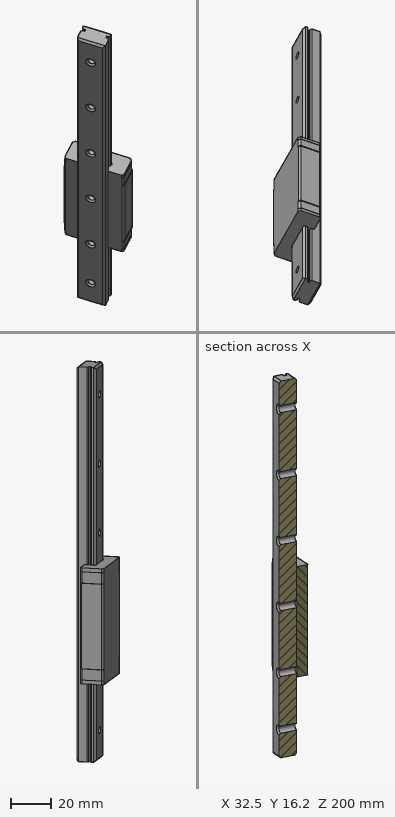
import cadquery as cq
total_depth = 16.25

rail_length = 200.0
rail_width = 15.0
rail_height = 10.0
rail_chamfer = 1.1

groove_center = 6.7
groove_slot_width = 1.0
groove_mouth_chamfer = 0.75
groove_depth = 1.8

end_margin = 15.0
hole_pitch = 35.0
pitched_holes = 5
screw_diameter = 3.5
countersink_diameter = 5.3
countersink_depth = (countersink_diameter - screw_diameter) / 2

carriage_height = 12.0
carriage_length = 58.8
carriage_top = rail_length / 2
carriage_middle = carriage_top - carriage_length / 2
carriage_front = total_depth - carriage_height
block_length = 43.4
block_width = 32.5
block_back_chamfer = 0.9
cap_width = 31.8
cap_back_chamfer = 1.1
seal_width = 31.6
seal_thickness = 2.0

front_chamfer_depth = 0.9
block_front_chamfer_width = 1.1
cap_front_chamfer_width = 0.9


def make_grooves():
    side = rail_width / 2
    half_slot = groove_slot_width / 2
    half_mouth = half_slot + groove_mouth_chamfer
    groove = (
        cq.Workplane("XY")
        .polyline([
            (side, groove_center - half_mouth),
            (side - groove_mouth_chamfer, groove_center - half_slot),
            (side - groove_depth, groove_center - half_slot),
            (side - groove_depth, groove_center + half_slot),
            (side - groove_mouth_chamfer, groove_center + half_slot),
            (side, groove_center + half_mouth),
        ])
        .close()
        .extrude(rail_length)
    )
    return groove.union(groove.mirror("YZ"))


def make_screw_hole(z):
    """Countersunk hole through the rail at height z, revolved about its own axis along Y."""
    return (
        cq.Workplane("XY")
        .polyline([
            (0, 0),
            (countersink_diameter / 2, 0),
            (screw_diameter / 2, countersink_depth),
            (screw_diameter / 2, rail_height),
            (0, rail_height),
        ])
        .close()
        .revolve(360, (0, 0, 0), (0, 1, 0))
        .translate((0, 0, z))
    )


def make_rail():
    rail = cq.Workplane("XY").box(rail_width, rail_height, rail_length, centered=(True, False, False))
    rail = rail.edges("|Z").chamfer(rail_chamfer)
    rail = rail.faces("<Y or >Y").edges("|X").chamfer(rail_chamfer)
    rail = rail.cut(make_grooves())
    hole_heights = [rail_length - end_margin - n * hole_pitch for n in range(pitched_holes)]
    hole_heights.append(end_margin)
    for z in hole_heights:
        rail = rail.cut(make_screw_hole(z))
    return rail


def carriage_section(width, length, front_chamfer_width, back_chamfer):
    """Chamfered bar centred on the carriage's middle height."""
    half_width = width / 2
    front_half_width = half_width - front_chamfer_width
    back_half_width = half_width - back_chamfer
    front_shoulder = carriage_front + front_chamfer_depth
    back_shoulder = total_depth - back_chamfer
    return (
        cq.Workplane("XY", origin=(0, 0, carriage_middle))
        .polyline([
            (-front_half_width, carriage_front),
            (front_half_width, carriage_front),
            (half_width, front_shoulder),
            (half_width, back_shoulder),
            (back_half_width, total_depth),
            (-back_half_width, total_depth),
            (-half_width, back_shoulder),
            (-half_width, front_shoulder),
        ])
        .close()
        .extrude(length / 2, both=True)
    )


def make_carriage():
    cap_span = carriage_length - 2 * seal_thickness
    block = carriage_section(block_width, block_length, block_front_chamfer_width, block_back_chamfer)
    caps = carriage_section(cap_width, cap_span, cap_front_chamfer_width, cap_back_chamfer)
    seals = carriage_section(seal_width, carriage_length, cap_front_chamfer_width, cap_back_chamfer)
    rail_channel = (
        cq.Workplane("XY", origin=(0, 0, carriage_middle))
        .box(rail_width, rail_height, carriage_length, centered=(True, False, True))
    )
    return block.union(caps).union(seals).cut(rail_channel.cut(make_grooves()))


rail = make_rail()
carriage = make_carriage()

result = cq.Compound.makeCompound([rail.val(), carriage.val()])